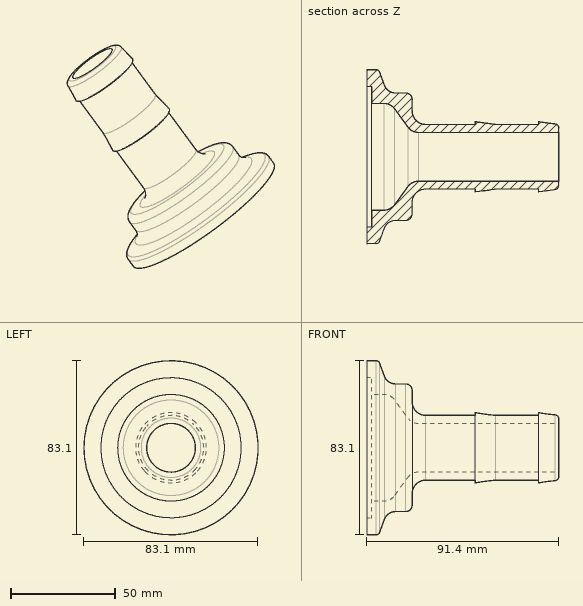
import math

import cadquery as cq


total_length = 91.44

flange_radius = 83.06 / 2
rim_length = 5.64
rim_round = 1.75
shoulder_angle = math.radians(20)

hub_radius = 60.96 / 2
hub_end = 21.59
shoulder_fillet = 5.55
hub_corner_round = 3.175

stem_radius = 30.99 / 2
stem_fillet = 6.35
barb_radius = 16.8
barb_length = 9.8
first_barb_start = 51.5
last_barb_start = total_length - barb_length
tip_round = 2.1

recess_radius = 66.8 / 2
recess_depth = 2.2

mouth_radius = 50.8 / 2
passage_radius = 23.11 / 2
funnel_start = 11.3
funnel_angle = math.radians(54)
funnel_fillet = 6.35


def unit_direction(start, end):
    """Unit vector from one profile corner to the next."""
    length = math.dist(start[:2], end[:2])
    return (end[0] - start[0]) / length, (end[1] - start[1]) / length


def rounded_profile(corners):
    """Closed outline through (x, radius, rounding) corners; a rounding above 0 becomes a tangent arc."""
    outline = cq.Workplane("XY").moveTo(*corners[0][:2])
    for before, corner, after in zip(corners, corners[1:], corners[2:]):
        x, y, rounding = corner
        if rounding == 0:
            outline = outline.lineTo(x, y)
            continue
        back = unit_direction(corner, before)
        ahead = unit_direction(corner, after)
        half_angle = math.acos(back[0] * ahead[0] + back[1] * ahead[1]) / 2
        tangent_length = rounding / math.tan(half_angle)
        apex_distance = rounding / math.sin(half_angle) - rounding
        bisector = unit_direction((0, 0), (back[0] + ahead[0], back[1] + ahead[1]))
        arc_start = (x + back[0] * tangent_length, y + back[1] * tangent_length)
        arc_middle = (x + bisector[0] * apex_distance, y + bisector[1] * apex_distance)
        arc_end = (x + ahead[0] * tangent_length, y + ahead[1] * tangent_length)
        outline = outline.lineTo(*arc_start).threePointArc(arc_middle, arc_end)
    return outline.lineTo(*corners[-1][:2]).close()


def revolve_about_axis(corners):
    return rounded_profile(corners).revolve(360, (0, 0, 0), (1, 0, 0))


def outer_body():
    """Flange, hub and barbed stem as one solid of revolution."""
    shoulder_length = (flange_radius - hub_radius) * math.tan(shoulder_angle)
    return revolve_about_axis([
        (0, 0, 0),
        (0, flange_radius, 0),
        (rim_length, flange_radius, rim_round),
        (rim_length + shoulder_length, hub_radius, shoulder_fillet),
        (hub_end, hub_radius, hub_corner_round),
        (hub_end, stem_radius, stem_fillet),
        (first_barb_start, stem_radius, 0),
        (first_barb_start, barb_radius, 0),
        (first_barb_start + barb_length, stem_radius, 0),
        (last_barb_start, stem_radius, 0),
        (last_barb_start, barb_radius, 0),
        (total_length, stem_radius, tip_round),
        (total_length, 0, 0),
    ])


def inner_cavity():
    """Gasket recess, mouth, funnel and through passage."""
    funnel_length = (mouth_radius - passage_radius) / math.tan(funnel_angle)
    return revolve_about_axis([
        (0, 0, 0),
        (0, recess_radius, 0),
        (recess_depth, recess_radius, 0),
        (recess_depth, mouth_radius, 0),
        (funnel_start, mouth_radius, funnel_fillet),
        (funnel_start + funnel_length, passage_radius, funnel_fillet),
        (total_length, passage_radius, 0),
        (total_length, 0, 0),
    ])


result = outer_body().cut(inner_cavity())